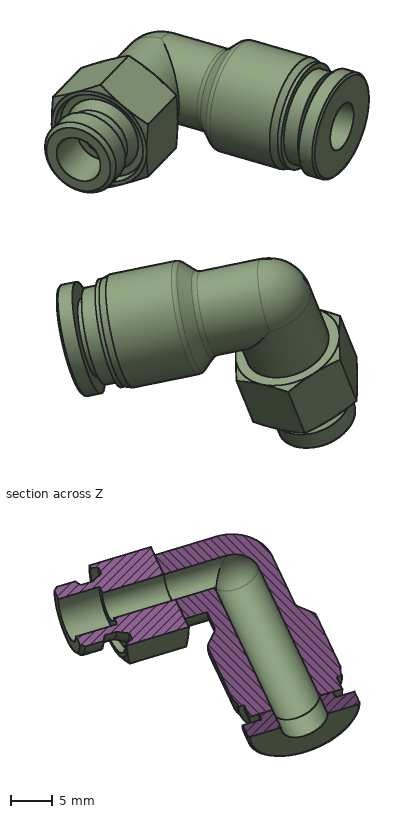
import cadquery as cq
import math


OVERALL_LENGTH_X = 31.2
STUD_TIP_Y = -21.3

THREAD_DIAMETER = 9.75
NECK_DIAMETER = 8.2
TIP_CHAMFER = 0.5
THREAD_LENGTH = 2.87
THREAD_RUNOUT = 0.47
HEX_OFFSET = 5.3
HEX_LENGTH = 8.0
HEX_ACROSS_FLATS = 13.0
HEX_CHAMFER_ANGLE = 20.0
RECESS_RIM_DIAMETER = 12.0
RECESS_FLOOR_DIAMETER = 11.55
RECESS_DEPTH = 0.9
FLARE_LENGTH = 1.37
STUD_BORE_DIAMETER = 4.0
COUNTERBORE_DIAMETER = 6.0

ELBOW_DIAMETER = 10.4
SOCKET_DIAMETER = 14.0
SOCKET_CONE_START_X = 7.95
SOCKET_CONE_END_X = 9.95
SOCKET_BLEND_RADIUS = 0.95
SOCKET_TAPER_START_X = 18.5
SOCKET_TAPER_END_X = 19.45
SOCKET_END_X = 19.95
SOCKET_END_DIAMETER = 13.4
COLLAR_DIAMETER = 12.0
COLLAR_END_X = 21.85
TUBE_BORE_DIAMETER = 6.0

BUTTON_NECK_DIAMETER = 9.6
FLANGE_START_X = 22.65
FLANGE_WIDTH_Y = 14.48
FLANGE_WIDTH_Z = 13.07
FLANGE_CHAMFER = 0.25

HEX_BOTTOM_Y = STUD_TIP_Y + HEX_OFFSET
HEX_TOP_Y = HEX_BOTTOM_Y + HEX_LENGTH
COUNTERBORE_DEPTH = HEX_OFFSET
FLANGE_END_X = OVERALL_LENGTH_X - HEX_ACROSS_FLATS / 2


def cylinder_along_x(diameter, start_x, end_x):
    """Solid cylinder on the tube axis."""
    return cq.Workplane("YZ", origin=(start_x, 0, 0)).circle(diameter / 2).extrude(end_x - start_x)


def cylinder_along_y(diameter, start_y, end_y):
    """Solid cylinder on the stud axis."""
    return cq.Workplane("XZ", origin=(0, end_y, 0)).circle(diameter / 2).extrude(end_y - start_y)


def revolve_about_y(points):
    """Revolve (radius, y) points about the stud axis."""
    return cq.Workplane("XY").polyline(points).close().revolve(360, (0, 0), (0, 1))


def make_hexagon():
    """Hexagon with flats facing +X and -X, both end faces chamfered by a cone."""
    flat_radius = HEX_ACROSS_FLATS / 2
    corner_radius = flat_radius / math.cos(math.radians(30))
    chamfer_height = (corner_radius - flat_radius) * math.tan(math.radians(HEX_CHAMFER_ANGLE))
    prism = (
        cq.Workplane("XZ", origin=(0, HEX_TOP_Y, 0))
        .polygon(6, 2 * corner_radius)
        .extrude(HEX_LENGTH)
        .rotate((0, 0, 0), (0, 1, 0), 30)
    )
    envelope = revolve_about_y([
        (0, HEX_BOTTOM_Y),
        (flat_radius, HEX_BOTTOM_Y),
        (corner_radius, HEX_BOTTOM_Y + chamfer_height),
        (corner_radius, HEX_TOP_Y - chamfer_height),
        (flat_radius, HEX_TOP_Y),
        (0, HEX_TOP_Y),
    ])
    return prism.intersect(envelope)


def make_stud():
    """Threaded stud with its hexagon, annular face recess and stepped bore."""
    thread_radius = THREAD_DIAMETER / 2
    neck_radius = NECK_DIAMETER / 2
    recess_floor_y = HEX_BOTTOM_Y + RECESS_DEPTH
    thread_end_y = STUD_TIP_Y + THREAD_LENGTH

    recess = revolve_about_y([
        (0, HEX_BOTTOM_Y),
        (RECESS_RIM_DIAMETER / 2, HEX_BOTTOM_Y),
        (RECESS_FLOOR_DIAMETER / 2, recess_floor_y),
        (0, recess_floor_y),
    ])
    threaded_end = revolve_about_y([
        (0, STUD_TIP_Y),
        (thread_radius - TIP_CHAMFER, STUD_TIP_Y),
        (thread_radius, STUD_TIP_Y + TIP_CHAMFER),
        (thread_radius, thread_end_y),
        (neck_radius, thread_end_y + THREAD_RUNOUT),
        (neck_radius, recess_floor_y - FLARE_LENGTH),
        (thread_radius, recess_floor_y),
        (0, recess_floor_y),
    ])
    bore = cylinder_along_y(STUD_BORE_DIAMETER, STUD_TIP_Y, HEX_TOP_Y)
    counterbore = cylinder_along_y(COUNTERBORE_DIAMETER, STUD_TIP_Y, STUD_TIP_Y + COUNTERBORE_DEPTH)
    return make_hexagon().cut(recess).union(threaded_end).cut(bore).cut(counterbore)


def make_socket():
    """Horizontal arm of the elbow, widening to the tube socket and ending in the collar."""
    elbow_radius = ELBOW_DIAMETER / 2
    socket_radius = SOCKET_DIAMETER / 2
    end_radius = SOCKET_END_DIAMETER / 2
    collar_radius = COLLAR_DIAMETER / 2
    profile = [
        (0, 0),
        (0, elbow_radius),
        (SOCKET_CONE_START_X, elbow_radius),
        (SOCKET_CONE_END_X, socket_radius),
        (SOCKET_TAPER_START_X, socket_radius),
        (SOCKET_TAPER_END_X, end_radius),
        (SOCKET_END_X, end_radius),
        (SOCKET_END_X, collar_radius),
        (COLLAR_END_X, collar_radius),
        (COLLAR_END_X, 0),
    ]
    socket = cq.Workplane("XY").polyline(profile).close().revolve(360, (0, 0), (1, 0))
    margin = 0.3
    cone_rims = cq.selectors.BoxSelector(
        (SOCKET_CONE_START_X - margin, -socket_radius, -socket_radius),
        (SOCKET_CONE_END_X + margin, socket_radius, socket_radius),
    )
    return socket.edges("%CIRCLE").edges(cone_rims).fillet(SOCKET_BLEND_RADIUS)


def make_housing():
    """Elbow housing with a spherical outer corner and a round-ended tube bore."""
    corner = cq.Workplane("XY").sphere(ELBOW_DIAMETER / 2)
    stud_arm = cylinder_along_y(ELBOW_DIAMETER, HEX_TOP_Y, 0)

    bore_end_x = (TUBE_BORE_DIAMETER - STUD_BORE_DIAMETER) / 2
    bore_end = cq.Workplane("XY", origin=(bore_end_x, 0, 0)).sphere(TUBE_BORE_DIAMETER / 2)
    tube_bore = cylinder_along_x(TUBE_BORE_DIAMETER, bore_end_x, COLLAR_END_X)
    stud_bore = cylinder_along_y(STUD_BORE_DIAMETER, HEX_TOP_Y, 0)

    outside = stud_arm.union(make_socket()).union(corner)
    return outside.cut(stud_bore).cut(tube_bore).cut(bore_end)


def make_release_button():
    """Release button: round neck, oval flange and a through hole for the tube."""
    neck = cylinder_along_x(BUTTON_NECK_DIAMETER, COLLAR_END_X, FLANGE_START_X)
    flange = (
        cq.Workplane("YZ", origin=(FLANGE_START_X, 0, 0))
        .ellipse(FLANGE_WIDTH_Y / 2, FLANGE_WIDTH_Z / 2)
        .extrude(FLANGE_END_X - FLANGE_START_X)
        .faces(">X")
        .edges()
        .chamfer(FLANGE_CHAMFER)
    )
    tube_hole = cylinder_along_x(TUBE_BORE_DIAMETER, COLLAR_END_X, FLANGE_END_X)
    return neck.union(flange).cut(tube_hole)


stud = make_stud()
housing = make_housing()
release_button = make_release_button()

result = cq.Compound.makeCompound([stud.val(), housing.val(), release_button.val()])